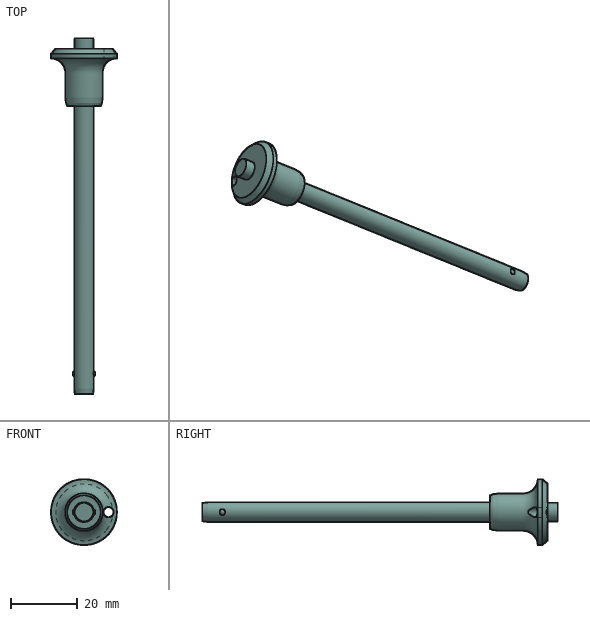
import cadquery as cq
import math

length = 107.7
button_end = length / 2
tip_end = -length / 2

button_radius = 2.9
button_height = 3.1
button_chamfer_width = 0.1
button_chamfer_height = 0.4

flange_radius = 10.0
flange_chamfer_width = 1.4
flange_chamfer_height = 1.6
flange_rim_height = 1.4
collar_radius = 5.7
collar_height = 7.5
flare_radius = flange_radius - collar_radius

upper_taper_height = 1.6
upper_taper_radius = 5.5
lower_taper_height = 1.0
lower_taper_radius = 5.1

shank_radius = 3.0
tip_radius = 2.8
tip_height = 1.7

hole_radius = 1.5
hole_offset = 7.4

ball_radius = 1.02
ball_reach = 3.5
ball_height = 6.1

flange_top = button_end - button_height
rim_top = flange_top - flange_chamfer_height
rim_bottom = rim_top - flange_rim_height
collar_top = rim_bottom - flare_radius
upper_taper_top = collar_top - collar_height
lower_taper_top = upper_taper_top - upper_taper_height
collar_end = lower_taper_top - lower_taper_height


def turned_body():
    """Revolve the half profile of the button, head and shank about Y."""
    flare_middle = (
        flange_radius - flare_radius * math.cos(math.radians(45)),
        collar_top + flare_radius * math.sin(math.radians(45)),
    )
    profile = (
        cq.Workplane("XY")
        .moveTo(0, button_end)
        .lineTo(button_radius - button_chamfer_width, button_end)
        .lineTo(button_radius, button_end - button_chamfer_height)
        .lineTo(button_radius, flange_top)
        .lineTo(flange_radius - flange_chamfer_width, flange_top)
        .lineTo(flange_radius, rim_top)
        .lineTo(flange_radius, rim_bottom)
        .threePointArc(flare_middle, (collar_radius, collar_top))
        .lineTo(collar_radius, upper_taper_top)
        .lineTo(upper_taper_radius, lower_taper_top)
        .lineTo(lower_taper_radius, collar_end)
        .lineTo(shank_radius, collar_end)
        .lineTo(shank_radius, tip_end + tip_height)
        .lineTo(tip_radius, tip_end)
        .lineTo(0, tip_end)
        .close()
    )
    return profile.revolve(360, (0, 0, 0), (0, 1, 0))


def flange_hole():
    """Cutter through the flange and flare, parallel to the pin axis."""
    return (
        cq.Workplane("XZ", origin=(0, flange_top, 0))
        .center(hole_offset, 0)
        .circle(hole_radius)
        .extrude(flange_top - collar_top)
    )


def locking_ball(side):
    """Ball partly sunk in the shank; side is +1 or -1 along X."""
    center = (side * (ball_reach - ball_radius), tip_end + ball_height, 0)
    return cq.Workplane("XY").sphere(ball_radius).translate(center)


result = turned_body().cut(flange_hole())
for side in (-1, 1):
    result = result.union(locking_ball(side))